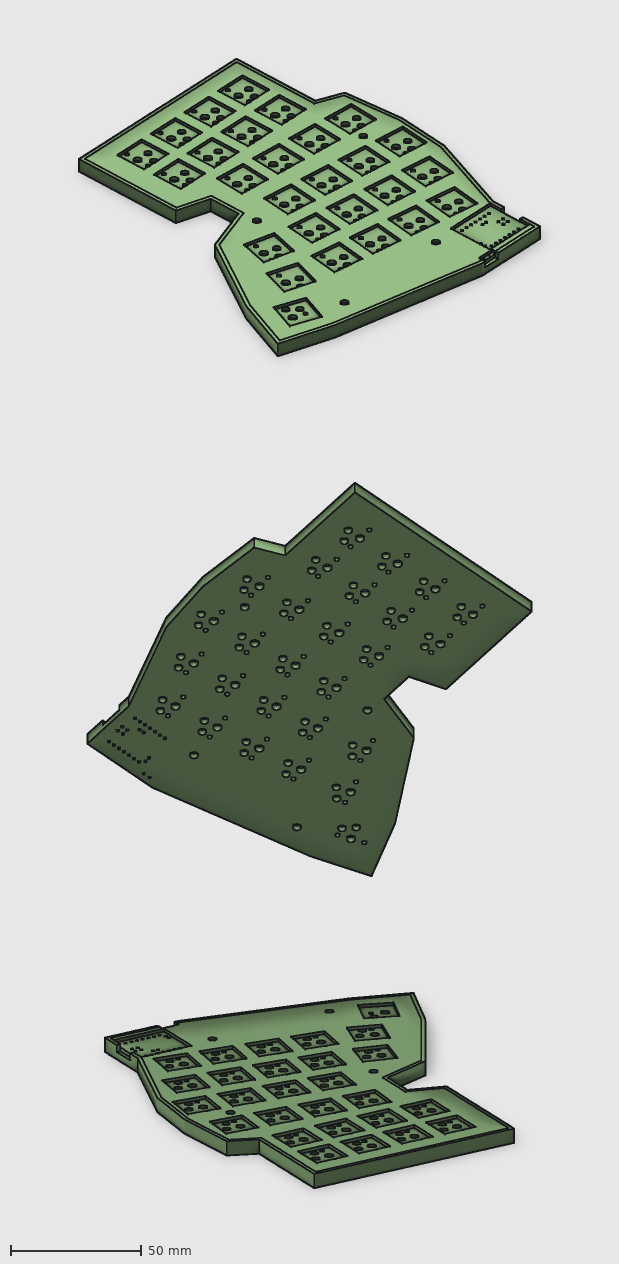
import cadquery as cq
import math


case_height = 6.0
plate_thickness = 1.3
board_thickness = 1.6
board_top = case_height - plate_thickness
floor_top = board_top - board_thickness

wall_thickness = 1.6
controller_wall_y = 54.0
case_outline = [
    (-80.2, 57.0), (-39.3, 57.0), (-34.5, 68.5), (-7.0, 70.9), (17.2, 68.5), (55.8, controller_wall_y),
    (80.2, controller_wall_y), (80.2, 21.0), (66.0, -47.0), (58.2, -70.9), (32.5, -60.8), (-3.7, -39.0),
    (-10.7, -17.8), (-25.2, -17.8), (-29.8, -32.5), (-80.2, -32.5),
]
case_right = max(x for x, y in case_outline)
inner_right = case_right - wall_thickness
inner_top = controller_wall_y - wall_thickness

key_pitch = 19.1
key_columns = [
    (-64.1, 43.5, 0, 4),
    (-45.0, 43.5, 0, 4),
    (-21.2, 57.2, -4, 4),
    (3.2, 59.3, -6, 4),
    (23.9, 51.6, -7, 4),
    (44.4, 43.1, -8, 4),
    (13.0, -26.5, -14.5, 1),
    (32.4, -35.1, -18, 1),
    (49.7, -50.2, -21, 1),
]
turned_key_column = len(key_columns) - 1
quarter_turn = 90
cutout_size = 14.0

post_shift = (-0.22, -2.7)
post_diameter = 3.4
peg_diameter = 1.8
peg_offset = 5.5
pin_diameter = 3.0
pin_places = [(0, 6.0), (5.0, 3.7)]

screw_diameter = 3.2
screw_places = [(-10.0, 52.1), (57.7, 19.4), (-2.4, -16.5), (58.7, -33.5)]

bay_left = 55.8
bay_right = 76.3
bay_bottom = 29.8
controller_x = 66.4
header_diameter = 1.0
header_pins = 7
header_spacing = 15.2
header_pitch = header_spacing / 6
header_top = 48.5
pad_diameter = 1.05
pad_block_y = 48.1
pad_pair_x = 61.9
pad_pair_y = 42.3
pad_pair_pitch = 2.1
power_pad_x = 71.0
power_pad_y = 31.6
power_pad_pitch = 2.1

usb_width = 9.6
slide_switch_y = 26.6
slide_switch_width = 7.5
slide_switch_left = 77.0
switch_peg_diameter = 0.9
switch_peg_x = 77.1
switch_peg_pitch = 2.9


def turned(point, degrees):
    """The point turned counterclockwise about the origin."""
    x, y = point
    c = math.cos(math.radians(degrees))
    s = math.sin(math.radians(degrees))
    return (c * x - s * y, s * x + c * y)


def shifted(point, origin):
    """The point moved along with the origin."""
    return (origin[0] + point[0], origin[1] + point[1])


def column_keys(x, y, tilt, count):
    """Centres of the switch cutouts of one column."""
    return [shifted(turned((0, -row * key_pitch), tilt), (x, y)) for row in range(count)]


def prism(x0, x1, y0, y1, z0, z1):
    """A box between the given limits."""
    return cq.Workplane("XY").box(x1 - x0, y1 - y0, z1 - z0, centered=False).translate((x0, y0, z0))


def drills(points, diameter):
    """Cylinders through the full height of the case."""
    return cq.Workplane("XY").pushPoints(points).circle(diameter / 2).extrude(case_height)


def inner_slab(z0, z1):
    """A slab that fills the space inside the case wall from z0 to z1."""
    outline = cq.Workplane("XY").workplane(offset=z0).polyline(case_outline).close()
    return outline.offset2D(-wall_thickness, "intersection").extrude(z1 - z0)


usb_opening = prism(
    controller_x - usb_width / 2, controller_x + usb_width / 2,
    inner_top, controller_wall_y, floor_top, case_height,
)
slide_switch_opening = prism(
    inner_right, case_right,
    slide_switch_y - slide_switch_width / 2, slide_switch_y + slide_switch_width / 2,
    floor_top, case_height,
)


def drilled(body):
    """The body with every switch, screw, controller and slide switch hole through it."""
    posts = []
    pegs = []
    pins = []
    for index, column in enumerate(key_columns):
        angle = column[2]
        if index == turned_key_column:
            angle += quarter_turn
        for centre in column_keys(*column):
            post = shifted(post_shift, centre)
            posts.append(post)
            pegs += [shifted(turned((side * peg_offset, 0), angle), post) for side in (-1, 1)]
            pins += [shifted(turned(place, angle), post) for place in pin_places]
    headers = [
        (controller_x + side * header_spacing / 2, header_top - pin * header_pitch)
        for side in (-1, 1)
        for pin in range(header_pins)
    ]
    pads = [
        (controller_x + i * header_pitch / 2, pad_block_y + j * header_pitch / 2)
        for i in (-1, 1)
        for j in (-1, 1)
    ]
    pads += [(pad_pair_x, pad_pair_y + j * pad_pair_pitch / 2) for j in (-1, 1)]
    pads += [(power_pad_x + i * power_pad_pitch / 2, power_pad_y) for i in (-1, 1)]
    switch_pegs = [(switch_peg_x, slide_switch_y + j * switch_peg_pitch / 2) for j in (-1, 1)]
    hole_sets = [
        (posts, post_diameter),
        (pegs, peg_diameter),
        (pins, pin_diameter),
        (screw_places, screw_diameter),
        (headers, header_diameter),
        (pads, pad_diameter),
        (switch_pegs, switch_peg_diameter),
    ]
    for points, diameter in hole_sets:
        body = body.cut(drills(points, diameter))
    return body


def make_case():
    """The tray with its wall openings and with the board's holes continued through its floor."""
    case = cq.Workplane("XY").polyline(case_outline).close().extrude(case_height)
    case = case.cut(inner_slab(floor_top, case_height))
    case = case.cut(usb_opening).cut(slide_switch_opening)
    return drilled(case)


def make_board():
    return drilled(inner_slab(floor_top, board_top))


def make_plate():
    """The switch plate, with a square cutout for each key and its bay and notch open at the edge."""
    plate = inner_slab(board_top, case_height)
    for column in key_columns:
        tilt = column[2]
        for x, y in column_keys(*column):
            cutout = cq.Workplane("XY").rect(cutout_size, cutout_size).extrude(case_height)
            cutout = cutout.rotate((0, 0, 0), (0, 0, 1), tilt).translate((x, y, 0))
            plate = plate.cut(cutout)
    bay = prism(bay_left, bay_right, bay_bottom, inner_top, board_top, case_height)
    slide_switch_notch = prism(
        slide_switch_left, inner_right,
        slide_switch_y - slide_switch_width / 2, slide_switch_y + slide_switch_width / 2,
        board_top, case_height,
    )
    plate = plate.cut(bay).cut(slide_switch_notch)
    return plate.cut(drills(screw_places, screw_diameter))


case = make_case()
board = make_board()
plate = make_plate()
result = cq.Compound.makeCompound([case.val(), board.val(), plate.val()])